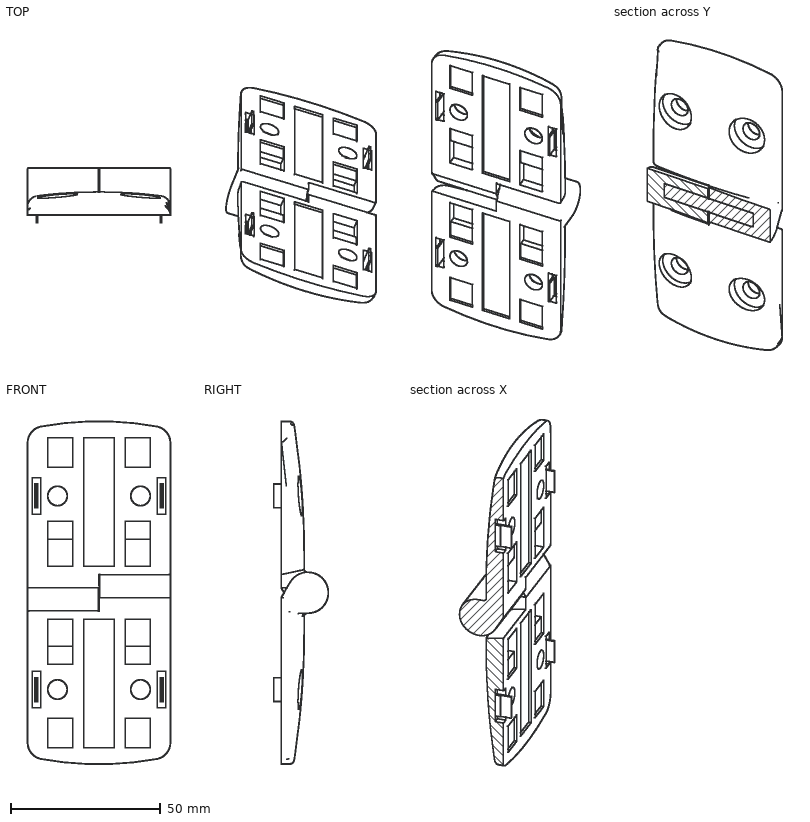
import cadquery as cq
import math

leaf_width = 48.0
half_width = leaf_width / 2
leaf_reach = 57.5
end_radius = 108.1
corner_radius = 5.8

front_height = 7.8
front_flat_z = 12.1
front_radius = 287.5
crown_radius = 163.3
shoulder_radius = 3.8
rim_radius = 1.7

knuckle_radius = 6.9
barrel_front_y = 15.9
axis_y = barrel_front_y - knuckle_radius
back_edge_z = 1.6
knuckle_edge_radius = 0.6
root_radius = 0.9
knuckle_gap = 0.3

clear_edge_z = 6.1
clear_slope = math.radians(12)
clear_edge_radius = 0.6

pin_radius = 2.9
pin_length = 34.5

hole_x = 13.9
hole_z = 32.4
hole_radius = 3.2
counterbore_radius = 6.5
counterbore_floor_y = 3.5

pocket_depth = 0.9
pocket_near_z = 8.9
pocket_far_z = 52.0
groove_width = 10.1
side_pocket_x = 13.0
side_pocket_width = 8.4
far_pocket_length = 10.0
near_pocket_length = 15.2
deep_pocket_length = 9.1
deep_pocket_depth = 3.0

clip_recess_x = 20.9
clip_recess_width = 3.0
clip_recess_length = 12.2
clip_recess_depth = 3.0
clip_x = 20.8
clip_thickness = 0.6
clip_length = 8.0
clip_height = 2.5
clip_root_step = 0.3
clip_root_y = 1.2


def box(x, z_low, z_high, width, y_low, y_high):
    """Block centred on x across its width, between the given Y and Z limits."""
    return (
        cq.Workplane("XY")
        .box(width, y_high - y_low, z_high - z_low, centered=(True, False, False))
        .translate((x, y_low, z_low))
    )


def outline_prism():
    """Leaf outline with the arched end and rounded corners, thick enough to hold the dome."""
    arc_drop = end_radius - math.sqrt(end_radius**2 - half_width**2)
    shoulder_z = leaf_reach - arc_drop
    return (
        cq.Workplane("XZ")
        .moveTo(-half_width, back_edge_z)
        .lineTo(half_width, back_edge_z)
        .lineTo(half_width, shoulder_z)
        .threePointArc((0, leaf_reach), (-half_width, shoulder_z))
        .close()
        .extrude(-2 * front_height)
        .edges("|Y")
        .edges(">Z")
        .fillet(corner_radius)
    )


def dome():
    """Crowned cross-section with rounded shoulders, revolved along the curve of the front face."""
    crown_drop = crown_radius - math.sqrt(crown_radius**2 - half_width**2)
    base_y = -2 * front_height
    start_angle = 5
    sweep_angle = 20
    axis_start = (0, front_height - front_radius, front_flat_z)
    section = (
        cq.Sketch()
        .segment((-half_width, base_y), (half_width, base_y))
        .segment((half_width, front_height - crown_drop))
        .arc((0, front_height), (-half_width, front_height - crown_drop))
        .close()
        .assemble()
        .vertices(">Y")
        .fillet(shoulder_radius)
    )
    return (
        cq.Workplane("XY", origin=axis_start)
        .placeSketch(section.moved(cq.Location(cq.Vector(0, -axis_start[1], 0))))
        .revolve(sweep_angle, (0, 0), (1, 0))
        .rotate(axis_start, (1, axis_start[1], front_flat_z), -start_angle)
    )


def clear_edge_cut():
    """Room for the other knuckle: everything below a slanted plane, on the +X half."""
    depth = 2 * front_height
    return (
        cq.Workplane("YZ")
        .polyline([
            (0, 0),
            (depth, 0),
            (depth, clear_edge_z + depth * math.tan(clear_slope)),
            (0, clear_edge_z),
        ])
        .close()
        .extrude(half_width)
    )


def plate():
    """Domed plate with its clear edge on the +X half; that edge and the far rim are rounded."""
    clear_edge_zone = cq.selectors.BoxSelector(
        (knuckle_gap, clear_edge_radius, back_edge_z),
        (leaf_width, 2 * front_height, clear_edge_z + corner_radius),
    )
    rim_zone = cq.selectors.BoxSelector(
        (-leaf_width, rim_radius, leaf_reach - corner_radius),
        (leaf_width, 2 * front_height, leaf_reach + corner_radius),
    )
    return (
        outline_prism()
        .cut(clear_edge_cut())
        .intersect(dome())
        .edges(clear_edge_zone)
        .fillet(clear_edge_radius)
        .edges(rim_zone)
        .fillet(rim_radius)
    )


def knuckle():
    """Barrel on the -X half, flat on top and with a tangent underside running to the back face."""
    to_edge = math.hypot(axis_y, back_edge_z)
    edge_angle = math.pi - math.atan2(back_edge_z, axis_y)
    tangent_angle = edge_angle + math.acos(knuckle_radius / to_edge)
    tangent_point = (
        axis_y + knuckle_radius * math.cos(tangent_angle),
        knuckle_radius * math.sin(tangent_angle),
    )
    lower_front_point = (
        axis_y + knuckle_radius * math.cos(math.pi / 4),
        -knuckle_radius * math.sin(math.pi / 4),
    )
    return (
        cq.Workplane("YZ", origin=(-half_width, 0, 0))
        .moveTo(0, back_edge_z)
        .lineTo(0, knuckle_radius)
        .lineTo(axis_y, knuckle_radius)
        .threePointArc(lower_front_point, tangent_point)
        .close()
        .extrude(half_width - knuckle_gap / 2)
        .faces("<X")
        .edges("not(<Y)")
        .fillet(knuckle_edge_radius)
    )


def plate_with_knuckle():
    """Plate and knuckle in one, with a small fillet where the knuckle top meets the dome."""
    root_zone = cq.selectors.BoxSelector(
        (-half_width, front_height / 2, knuckle_radius - root_radius / 2),
        (-knuckle_gap, front_height, knuckle_radius + root_radius / 2),
    )
    return plate().union(knuckle()).edges(root_zone).fillet(root_radius)


def pin_cylinder():
    """Pin on the hinge axis; it also cuts its own holes in the knuckles."""
    return (
        cq.Workplane("YZ", origin=(-pin_length / 2, axis_y, 0))
        .circle(pin_radius)
        .extrude(pin_length)
    )


def screw_hole(x):
    """Through hole and its counterbore, both along Y."""
    back = cq.Workplane("XZ", origin=(x, 0, hole_z))
    hole = back.circle(hole_radius).extrude(-counterbore_floor_y)
    head = back.workplane(offset=-counterbore_floor_y).circle(counterbore_radius)
    return hole.union(head.extrude(-front_height))


def back_pockets():
    """Central groove and the shallow and stepped pockets on either side of it."""
    pockets = box(0, pocket_near_z, pocket_far_z, groove_width, 0, pocket_depth)
    near_end = pocket_near_z + near_pocket_length
    deep_end = pocket_near_z + deep_pocket_length
    far_start = pocket_far_z - far_pocket_length
    for x in (-side_pocket_x, side_pocket_x):
        pockets = (
            pockets
            .union(box(x, far_start, pocket_far_z, side_pocket_width, 0, pocket_depth))
            .union(box(x, pocket_near_z, near_end, side_pocket_width, 0, pocket_depth))
            .union(box(x, pocket_near_z, deep_end, side_pocket_width, 0, deep_pocket_depth))
        )
    return pockets


def clip_recess(side):
    """Recess in the back around the clip on the given side, -1 or 1."""
    low = hole_z - clip_recess_length / 2
    high = hole_z + clip_recess_length / 2
    return box(side * clip_recess_x, low, high, clip_recess_width, 0, clip_recess_depth)


def clip(side):
    """Thin blade standing out of its recess, on a slightly thicker root."""
    low = hole_z - clip_length / 2
    high = hole_z + clip_length / 2
    blade = box(side * clip_x, low, high, clip_thickness, -clip_height, clip_recess_depth)
    root_x = side * (clip_x + clip_root_step / 2)
    root_thickness = clip_thickness + clip_root_step
    return blade.union(box(root_x, low, high, root_thickness, clip_root_y, clip_recess_depth))


def hinge_leaf():
    """Leaf reaching along +Z, with its knuckle on the -X half."""
    leaf = plate_with_knuckle().cut(pin_cylinder()).cut(back_pockets())
    for side in (-1, 1):
        leaf = (
            leaf
            .cut(screw_hole(side * hole_x))
            .cut(clip_recess(side))
            .union(clip(side))
        )
    return leaf


upper_leaf = hinge_leaf()
lower_leaf = hinge_leaf().rotate((0, 0, 0), (0, 1, 0), 180)
pin = pin_cylinder()

result = cq.Compound.makeCompound([upper_leaf.val(), lower_leaf.val(), pin.val()])